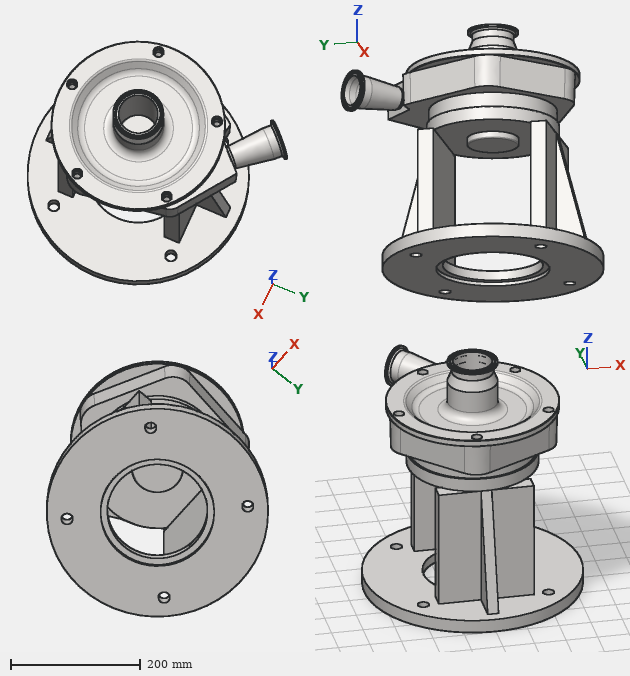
import cadquery as cq
import math

base_top = 21.0
post_top = 211.0
ring_top = 232.5
casing_bottom = 256.0
casing_top = 306.0
cover_top = 316.3
inlet_top = 385.0

base_radius = 171.5
base_bolt_offset = 99.0
base_bolt_radius = 8.8
base_recess_radius = 88.0
base_recess_depth = 6.0
post_inner_y = 77.5
post_outer_y = 102.5
post_width = 150.7
rib_width = 17.0
rib_foot_y = 152.5

ring_radius = 102.8
neck_radius = 99.5
boss_radius = 40.0
boss_bottom = 200.7
boss_fillet = 1.5

sides = 5
corner_step = 360 / sides
first_corner = 45
casing_apothem = 115.5
casing_corner_radius = 34.5
casing_draft = 1.5
outlet_side_angle = 54.5
outlet_side_distance = 141.5
outlet_corner_radius = 24.0
lug_tip = (-61.5, 128.8)
lug_arc_start_y = 115.5

cover_radius = 134.8
cover_chamfer = 0.8
dish_depth = 15.0
dish_floor_radius = 83.5
dish_fillet = 15.0
dish_lip_radius = 107.0
dish_lip_fillet = 5.0
dish_wall_angle = math.radians(45)
cover_bolt_circle = 122.0
cover_bolt_radius = 8.0
tap_radius = 6.0
tap_depth = 24.0

pipe_radius = 39.0
pipe_fillet = 14.8
shoulder_bottom = 350.5
shoulder_top = 367.5
inlet_neck_radius = 32.5
inlet_bore_radius = 30.5
inlet_bore_bottom = 264.0

outlet_angle = 135
outlet_offset = 91.0
outlet_axis_z = (casing_bottom + casing_top) / 2
nozzle_face = 200.0
nozzle_collar_start = 180.0
nozzle_cone_start = 120.0
nozzle_collar_radius = 25.5
nozzle_cone_radius = 18.5
nozzle_root_radius = 16.0
nozzle_mouth_radius = 23.0
nozzle_step_depth = 8.0
nozzle_bore_radius = 22.0
nozzle_bore_end_radius = 15.0

inlet_ferrule_radius = 39.0
outlet_ferrule_radius = 32.0
ferrule_rim = 3.0
ferrule_flare = 3.0
flare_step = 2.8
groove_width = 2.5
groove_depth = 1.0
groove_inset = 2.8


def direction(angle):
    """Unit vector in the XY plane at an angle in degrees."""
    return math.cos(math.radians(angle)), math.sin(math.radians(angle))


def wall_crossing(angle_a, distance_a, angle_b, distance_b):
    """Point where two upright walls cross, each given by normal angle and distance from the centre."""
    ax, ay = direction(angle_a)
    bx, by = direction(angle_b)
    det = ax * by - ay * bx
    return (distance_a * by - distance_b * ay) / det, (ax * distance_b - bx * distance_a) / det


def rounded_corner(angle_a, distance_a, angle_b, distance_b, radius):
    """Start, middle and end of the arc that rounds the corner between two walls."""
    cx, cy = wall_crossing(angle_a, distance_a - radius, angle_b, distance_b - radius)
    points = []
    for angle in (angle_a, (angle_a + angle_b) / 2, angle_b):
        dx, dy = direction(angle)
        points.append((cx + radius * dx, cy + radius * dy))
    return points


def cylinder(radius, bottom, top):
    return cq.Workplane("XY").workplane(offset=bottom).circle(radius).extrude(top - bottom)


def make_base():
    """Round plate with a centre hole that opens into a shallow recess underneath."""
    base = cylinder(base_radius, 0, base_top)
    base = base.cut(cylinder(post_inner_y, 0, base_top))
    base = base.cut(cylinder(base_recess_radius, 0, base_recess_depth))
    bolts = (
        cq.Workplane("XY")
        .rect(2 * base_bolt_offset, 2 * base_bolt_offset, forConstruction=True)
        .vertices()
        .circle(base_bolt_radius)
        .extrude(base_top)
    )
    return base.cut(bolts)


def make_post():
    """Upright slab on the +Y side with a tapering rib on its outer face."""
    slab = (
        cq.Workplane("XY")
        .workplane(offset=base_top)
        .center(0, (post_inner_y + post_outer_y) / 2)
        .rect(post_width, post_outer_y - post_inner_y)
        .extrude(post_top - base_top)
    )
    rib = (
        cq.Workplane("YZ")
        .moveTo(post_outer_y, base_top)
        .lineTo(rib_foot_y, base_top)
        .lineTo(post_outer_y, post_top)
        .close()
        .extrude(rib_width / 2, both=True)
    )
    return slab.union(rib)


def make_mount():
    boss = cylinder(boss_radius, boss_bottom, post_top).faces("<Z").edges().fillet(boss_fillet)
    ring = cylinder(ring_radius, post_top, ring_top)
    return boss.union(ring).union(cylinder(neck_radius, ring_top, casing_bottom))


def make_casing():
    """Drafted five-sided casing whose outlet side swells out to carry the nozzle."""
    outlet_wall = first_corner + corner_step / 2
    lug_wall = outlet_wall + corner_step
    last_wall = first_corner - corner_step / 2

    nx, ny = direction(lug_wall)
    lug_arc_start = ((casing_apothem - ny * lug_arc_start_y) / nx, lug_arc_start_y)
    nx, ny = direction(outlet_wall)
    lug_distance = nx * lug_tip[0] + ny * lug_tip[1]

    outline = (
        cq.Workplane("XY")
        .workplane(offset=casing_top)
        .moveTo(*lug_tip)
        .lineTo(*wall_crossing(outlet_wall, lug_distance, outlet_angle, casing_apothem))
        .lineTo(*wall_crossing(outlet_angle, casing_apothem, outlet_side_angle, outlet_side_distance))
    )
    start, middle, end = rounded_corner(
        outlet_side_angle, outlet_side_distance, last_wall, casing_apothem, outlet_corner_radius
    )
    outline = outline.lineTo(*start).threePointArc(middle, end)
    for k in range(sides - 2):
        wall = last_wall - k * corner_step
        start, middle, end = rounded_corner(
            wall, casing_apothem, wall - corner_step, casing_apothem, casing_corner_radius
        )
        outline = outline.lineTo(*start).threePointArc(middle, end)
    outline = outline.lineTo(*lug_arc_start).tangentArcPoint(lug_tip, relative=False).close()
    return outline.extrude(casing_bottom - casing_top, taper=casing_draft)


def make_cover():
    """Flat disc with a dished top, turned about Z, with its filleted root for the inlet pipe."""
    floor_z = cover_top - dish_depth
    plate_thickness = cover_top - casing_top
    slope_x, slope_z = math.sin(dish_wall_angle), 1 - math.cos(dish_wall_angle)
    half_x, half_z = math.sin(dish_wall_angle / 2), 1 - math.cos(dish_wall_angle / 2)
    quarter = math.sin(math.radians(45))
    root_fillet_mid = (
        pipe_radius + pipe_fillet * (1 - quarter),
        floor_z + pipe_fillet * (1 - quarter),
    )
    return (
        cq.Workplane("XZ")
        .moveTo(0, floor_z - plate_thickness)
        .lineTo(dish_lip_radius, floor_z - plate_thickness)
        .lineTo(dish_lip_radius, casing_top)
        .lineTo(cover_radius - cover_chamfer, casing_top)
        .lineTo(cover_radius, casing_top + cover_chamfer)
        .lineTo(cover_radius, cover_top - cover_chamfer)
        .lineTo(cover_radius - cover_chamfer, cover_top)
        .lineTo(dish_lip_radius, cover_top)
        .threePointArc(
            (dish_lip_radius - dish_lip_fillet * half_x, cover_top - dish_lip_fillet * half_z),
            (dish_lip_radius - dish_lip_fillet * slope_x, cover_top - dish_lip_fillet * slope_z),
        )
        .lineTo(dish_floor_radius + dish_fillet * slope_x, floor_z + dish_fillet * slope_z)
        .threePointArc(
            (dish_floor_radius + dish_fillet * half_x, floor_z + dish_fillet * half_z),
            (dish_floor_radius, floor_z),
        )
        .lineTo(pipe_radius + pipe_fillet, floor_z)
        .threePointArc(root_fillet_mid, (pipe_radius, floor_z + pipe_fillet))
        .lineTo(0, floor_z + pipe_fillet)
        .close()
        .revolve(360, (0, 0, 0), (0, 1, 0))
    )


def dish_space():
    """Room in the casing that the dished middle of the cover drops into."""
    return cylinder(dish_lip_radius, cover_top - dish_depth, casing_top)


def cover_bolt_holes():
    """Clearance holes through the cover that continue as pointed tapped holes in the casing."""
    hole = (
        cq.Workplane("XZ")
        .moveTo(0, cover_top)
        .lineTo(cover_bolt_radius, cover_top)
        .lineTo(cover_bolt_radius, casing_top)
        .lineTo(tap_radius, casing_top)
        .lineTo(tap_radius, cover_top - tap_depth)
        .lineTo(0, cover_top - tap_depth - tap_radius)
        .close()
        .revolve(360, (0, 0, 0), (0, 1, 0))
        .translate((cover_bolt_circle, 0, 0))
    )
    holes = cq.Workplane("XY")
    for k in range(sides):
        holes = holes.add(hole.rotate((0, 0, 0), (0, 0, 1), first_corner + k * corner_step))
    return holes.combine()


def turned_tube(profile, tube_radius, ferrule_radius, face):
    """Solid of revolution about Z: profile points, then a flared clamp ferrule ending at height face."""
    rim_bottom = face - ferrule_rim
    body = (
        cq.Workplane("XZ")
        .moveTo(0, profile[0][1])
        .polyline(profile, includeCurrent=True)
        .lineTo(tube_radius, rim_bottom - ferrule_flare)
        .lineTo(tube_radius + flare_step, rim_bottom)
        .lineTo(ferrule_radius, rim_bottom)
        .lineTo(ferrule_radius, face)
        .lineTo(0, face)
        .close()
        .revolve(360, (0, 0, 0), (0, 1, 0))
    )
    groove_outer = ferrule_radius - groove_inset
    groove = (
        cq.Workplane("XY")
        .workplane(offset=face - groove_depth)
        .circle(groove_outer)
        .circle(groove_outer - groove_width)
        .extrude(groove_depth)
    )
    return body.cut(groove)


def make_inlet():
    profile = [
        (pipe_radius, casing_top),
        (pipe_radius, shoulder_bottom),
        (inlet_neck_radius, shoulder_top),
    ]
    return turned_tube(profile, inlet_neck_radius, inlet_ferrule_radius, inlet_top)


def place_outlet(shape):
    """Lay a shape turned about Z along the outlet axis."""
    return (
        shape.rotate((0, 0, 0), (0, 1, 0), 90)
        .translate((0, -outlet_offset, outlet_axis_z))
        .rotate((0, 0, 0), (0, 0, 1), outlet_angle)
    )


def make_nozzle():
    root_sink = 4.0
    profile = [
        (nozzle_root_radius, casing_apothem - root_sink),
        (nozzle_root_radius, casing_apothem),
        (nozzle_cone_radius, nozzle_cone_start),
        (nozzle_collar_radius, nozzle_collar_start),
    ]
    return place_outlet(turned_tube(profile, nozzle_collar_radius, outlet_ferrule_radius, nozzle_face))


def nozzle_bore():
    step = nozzle_face - nozzle_step_depth
    bore = (
        cq.Workplane("XZ")
        .moveTo(0, casing_apothem)
        .lineTo(nozzle_bore_end_radius, casing_apothem)
        .lineTo(nozzle_bore_radius, nozzle_collar_start)
        .lineTo(nozzle_bore_radius, step)
        .lineTo(nozzle_mouth_radius, nozzle_face)
        .lineTo(0, nozzle_face)
        .close()
        .revolve(360, (0, 0, 0), (0, 1, 0))
    )
    return place_outlet(bore)


result = make_base()
for side_angle in (0, 180):
    result = result.union(make_post().rotate((0, 0, 0), (0, 0, 1), side_angle))
result = (
    result.union(make_mount())
    .union(make_casing().cut(dish_space()))
    .union(make_cover())
    .union(make_inlet())
    .union(make_nozzle())
    .cut(cover_bolt_holes())
    .cut(cylinder(inlet_bore_radius, inlet_bore_bottom, inlet_top))
    .cut(nozzle_bore())
)